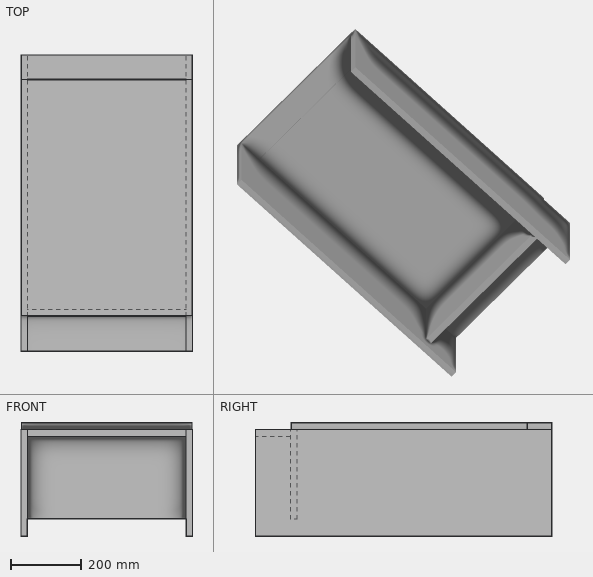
import cadquery as cq

width = 490
depth = 845
height = 324

board = 19

lid_side_inset = 1.5
lid_gap = 1
lid_setback = 2
shelf_drop = 1

shelf_depth = 99.5
back_strip_depth = 70
floor_gap = 50

side_height = height - board
inner_width = width - 2 * board
top_width = width - 2 * lid_side_inset
panel_height = side_height - floor_gap

shelf_bottom = side_height - shelf_drop - board
lid_front = shelf_depth + lid_setback
back_strip_front = depth - back_strip_depth
lid_depth = back_strip_front - lid_gap - lid_front


def make_board(size_x, size_y, size_z, front_y, bottom_z, center_x=0):
    """Rectangular board placed by its front face, underside and X centre."""
    return (
        cq.Workplane("XY")
        .box(size_x, size_y, size_z, centered=(True, False, False))
        .translate((center_x, front_y, bottom_z))
    )


side_offset = (width - board) / 2
sides = [
    make_board(board, depth, side_height, 0, 0, center_x)
    for center_x in (-side_offset, side_offset)
]

shelf = make_board(inner_width, shelf_depth, board, 0, shelf_bottom)

front_panel = make_board(inner_width, board, panel_height, shelf_depth, floor_gap)

lid = make_board(top_width, lid_depth, board, lid_front, side_height)

back_strip = make_board(top_width, back_strip_depth, board, back_strip_front, side_height)

result = cq.Compound.makeCompound([
    *[side.val() for side in sides],
    shelf.val(),
    front_panel.val(),
    lid.val(),
    back_strip.val(),
])